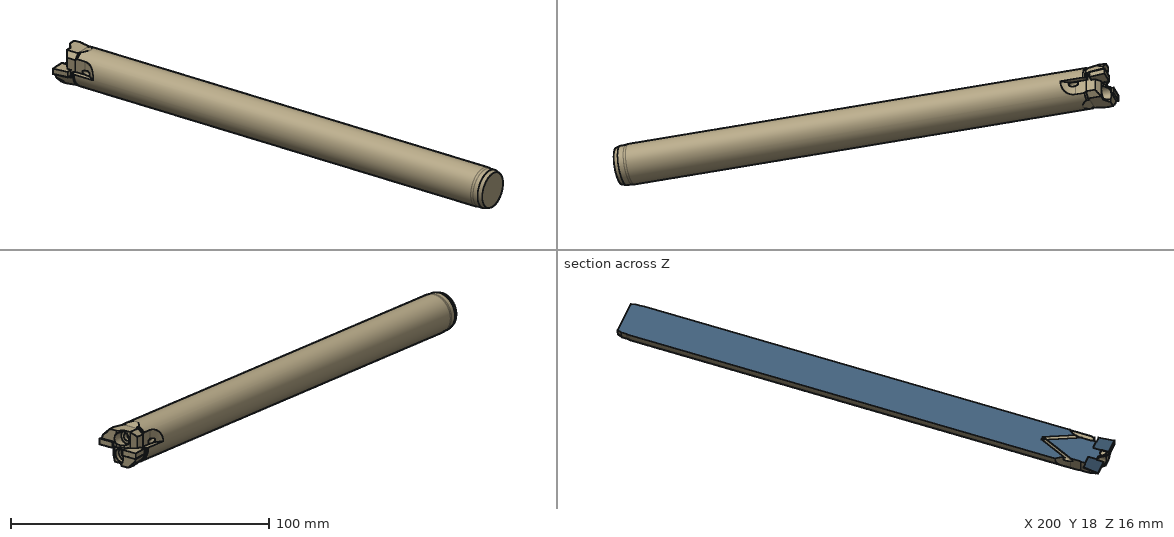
import cadquery as cq
import math

total_length = 200.0
shank_radius = 8.0
cutting_radius = 9.0

head_front = 0.8
head_radius = 8.8
head_end_radius = 7.8
head_end = 8.5
shoulder_radius = 7.5
shoulder_taper_end = 9.2
head_flat_height = 7.0

rear_step_start = 195.0
rear_step_end = 196.0
rear_radius = 7.8
rear_chamfer_start = 198.2
rear_end_radius = 7.2

facet_start = 8.0
facet_end = 11.5

relief_front_distance = 8.2
relief_end_distance = 8.5
relief_end = 4.0
relief_half_width = 4.0
relief_angle = 43.0

insert_face = 0.2
insert_thickness = 2.5
insert_inner = 2.5
insert_length = 6.5
insert_heel_radius = 8.2

gullet_floor = -0.2
head_wall = 6.0
nose_step = 3.0
nose_corner = 1.0
nose_inner = 1.5
wall_top_corner = 3.8
wall_slant_end = 4.8
wall_chamfer_height = 5.0
seat_relief_end = 7.8
shank_wall = 5.8
shank_wall_end = 12.8
gullet_runout_radius = 7.8

bore_y = -0.5
bore_z = 3.5
counterbore_diameter = 5.5
counterbore_end = 5.0
bore_diameter = 3.0
bore_end = 7.0

outlet_diameter = 2.0
outlet_x = 14.0
outlet_angle = 25.0

clear = 12.0


def turned_blank():
    """Head, shank and stepped rear end as one turned shape."""
    profile = [
        (head_front, 0),
        (head_front, head_radius),
        (head_end, head_end_radius),
        (head_end, shoulder_radius),
        (shoulder_taper_end, shank_radius),
        (rear_step_start, shank_radius),
        (rear_step_end, rear_radius),
        (rear_chamfer_start, rear_radius),
        (total_length, rear_end_radius),
        (total_length, 0),
    ]
    return cq.Workplane("XY").polyline(profile).close().revolve(360, (0, 0, 0), (1, 0, 0))


def prism_above(points, base):
    """Prism over an XY outline, from height base up past the outer surface."""
    return cq.Workplane("XY").workplane(offset=base).polyline(points).close().extrude(clear - base)


def flat_and_facet_cut():
    """Space above the head flat and above the facet that rises to the shank surface."""
    outline = [
        (-clear, head_flat_height),
        (facet_start, head_flat_height),
        (facet_end, shank_radius),
        (facet_end, clear),
        (-clear, clear),
    ]
    return cq.Workplane("XZ").polyline(outline).close().extrude(clear, both=True)


def corner_relief_cut():
    """Space outside the relief flat, which runs out along the head towards the neck."""
    outline = [
        (head_front, relief_front_distance),
        (relief_end, relief_end_distance),
        (relief_end, clear),
        (head_front, clear),
    ]
    cutter = cq.Workplane("XZ").polyline(outline).close().extrude(relief_half_width, both=True)
    return cutter.rotate((0, 0, 0), (1, 0, 0), -relief_angle)


def head_gullet_cut():
    """Chip space in front of the insert face, with its slanted nose."""
    outline = [
        (-clear, nose_inner),
        (head_front, nose_inner),
        (nose_step, -nose_corner),
        (nose_step, -wall_top_corner),
        (wall_slant_end, -head_wall),
        (head_end, -head_wall),
        (head_end, -clear),
        (-clear, -clear),
    ]
    return prism_above(outline, gullet_floor)


def wall_chamfer_cut():
    """Bevel between the head flat and the gullet wall."""
    outline = [
        (-wall_top_corner, head_flat_height),
        (-head_wall, wall_chamfer_height),
        (-clear, wall_chamfer_height),
        (-clear, head_flat_height),
    ]
    return cq.Workplane("YZ").polyline(outline).close().extrude(head_end)


def shank_gullet_cut():
    """Gullet in the shank: straight wall, then a round runout to the surface."""
    center_y = -shank_wall - gullet_runout_radius
    half = gullet_runout_radius * math.sqrt(0.5)
    return (
        cq.Workplane("XY")
        .workplane(offset=gullet_floor)
        .moveTo(head_end, -shank_wall)
        .lineTo(shank_wall_end, -shank_wall)
        .threePointArc(
            (shank_wall_end + half, center_y + half),
            (shank_wall_end + gullet_runout_radius, center_y),
        )
        .lineTo(head_end, center_y)
        .close()
        .extrude(clear)
    )


def seat_relief_cut():
    """Open notch behind the heel of the insert."""
    outline = [
        (insert_length, -head_wall),
        (seat_relief_end, -head_wall),
        (seat_relief_end, -clear),
        (insert_length, -clear),
    ]
    return prism_above(outline, insert_face - insert_thickness)


def nose_bore_cut():
    """Blind counterbored hole along X."""
    start = cq.Workplane("YZ").center(bore_y, bore_z)
    counterbore = start.circle(counterbore_diameter / 2).extrude(counterbore_end)
    return counterbore.union(start.circle(bore_diameter / 2).extrude(bore_end))


def coolant_outlet_cut():
    """Blind hole from the gullet wall up to the tool axis, level with the gullet floor."""
    angle = math.radians(outlet_angle)
    direction = cq.Vector(math.cos(angle), math.sin(angle), 0)
    mouth = cq.Vector(outlet_x, -shank_wall, gullet_floor + outlet_diameter / 2)
    depth = shank_wall / math.sin(angle)
    lead_in = shank_radius / 2
    hole = cq.Solid.makeCylinder(
        outlet_diameter / 2, depth + lead_in, mouth - direction * lead_in, direction
    )
    return cq.Workplane(hole)


def make_insert():
    """Flat insert whose outer edge leans inward towards the heel."""
    outline = [
        (0, -insert_inner),
        (0, -cutting_radius),
        (insert_length, -insert_heel_radius),
        (insert_length, -insert_inner),
    ]
    return (
        cq.Workplane("XY")
        .workplane(offset=insert_face)
        .polyline(outline)
        .close()
        .extrude(-insert_thickness)
    )


def flute_cuts():
    """Every cut that belongs to one of the two flutes."""
    return [
        flat_and_facet_cut(),
        corner_relief_cut(),
        head_gullet_cut(),
        wall_chamfer_cut(),
        shank_gullet_cut(),
        seat_relief_cut(),
        nose_bore_cut(),
        coolant_outlet_cut(),
    ]


holder = turned_blank()
inserts = []
for turn in (0, 180):
    for cutter in flute_cuts():
        holder = holder.cut(cutter.rotate((0, 0, 0), (1, 0, 0), turn))
    insert = make_insert().rotate((0, 0, 0), (1, 0, 0), turn)
    holder = holder.cut(insert)
    inserts.append(insert.val())

result = cq.Compound.makeCompound([holder.val(), *inserts])